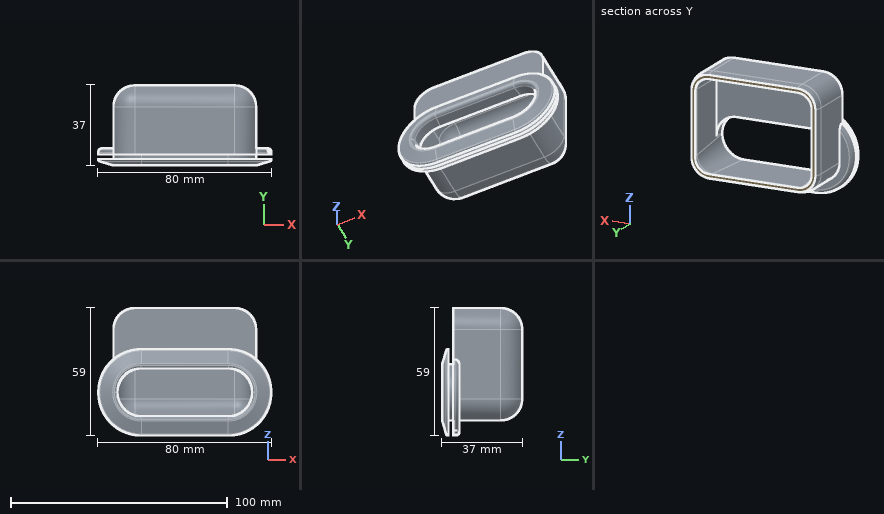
import cadquery as cq

wall = 2.0
slot_straight = 40.0
flange_radius = 20.0
neck_radius = 13.0

rim_thickness = 3.0
rim_bevel_width = 6.75
rim_bevel_depth = 2.0
rim_edge_fillet = 1.0
groove_width = 2.0
flange_thickness = 3.0
flange_edge_fillet = 2.0

box_top = 39.0
box_depth = 32.0
box_edge_radius = 10.0
mouth_corner_radius = 10.9
lip_fillet = 1.5
selection_margin = 0.1

opening_radius = neck_radius - wall
flange_width = slot_straight + 2 * flange_radius
box_width = slot_straight + 2 * neck_radius
box_bottom = -neck_radius
box_front = rim_thickness + groove_width
box_back = box_front + box_depth
cavity_width = box_width - 2 * wall
chamber_front = box_front + wall
passage_end = box_back - box_edge_radius


def slot_prism(radius, y_start, y_end):
    """Horizontal slot outline centred on the Y axis, extruded from y_start to y_end."""
    return (
        cq.Workplane("XZ", origin=(0, y_start, 0))
        .slot2D(slot_straight + 2 * radius, 2 * radius)
        .extrude(y_start - y_end)
    )


def rounded_rectangle(width, bottom, top, corner_radius):
    """Rounded rectangle sketch centred on x = 0, spanning bottom to top in height."""
    return (
        cq.Sketch()
        .rect(width, top - bottom)
        .vertices()
        .fillet(corner_radius)
        .moved(cq.Location(cq.Vector(0, (top + bottom) / 2, 0)))
    )


def rounded_block(inset, y_start, y_end):
    """Block with rounded long edges and rounded back, inset from the box outline."""
    edge_radius = box_edge_radius - inset
    outline = rounded_rectangle(
        box_width - 2 * inset, box_bottom + inset, box_top - inset, edge_radius
    )
    return (
        cq.Workplane("XZ", origin=(0, y_start, 0))
        .placeSketch(outline)
        .extrude(y_start - y_end)
        .faces(">Y")
        .edges()
        .fillet(edge_radius)
    )


def edges_at_depth(y, width, height):
    """Selector for edges in the plane at y that lie within width by height about the Y axis."""
    half_width = width / 2 + selection_margin
    half_height = height / 2 + selection_margin
    return cq.selectors.BoxSelector(
        (-half_width, y - selection_margin, -half_height),
        (half_width, y + selection_margin, half_height),
        boundingbox=True,
    )


def front_rim():
    """Slot plate whose front face slopes back towards the outer edge."""
    plate = slot_prism(flange_radius, 0, rim_thickness)
    beveled = plate.faces("<Y").chamfer(rim_bevel_depth, rim_bevel_width)
    bevel_edge = edges_at_depth(rim_bevel_depth, flange_width, 2 * flange_radius)
    return beveled.edges(bevel_edge).fillet(rim_edge_fillet)


def rear_flange():
    """Slot plate behind the groove, rounded along its back edge."""
    plate = slot_prism(flange_radius, box_front, box_front + flange_thickness)
    return plate.faces(">Y").edges().fillet(flange_edge_fillet)


def opening_outline(corner_radius):
    """Outline of the opening, one wall thickness inside the neck."""
    return rounded_rectangle(cavity_width, -opening_radius, opening_radius, corner_radius)


def mouth():
    """Straight opening through the rim and the neck."""
    outline = opening_outline(mouth_corner_radius)
    return cq.Workplane("XZ").placeSketch(outline).extrude(-chamber_front)


def lower_passage():
    """Passage behind the mouth whose corners tighten to those of the cavity's back."""
    start = opening_outline(mouth_corner_radius)
    end = opening_outline(box_edge_radius - wall)
    shift = cq.Location(cq.Vector(0, 0, lip_fillet - passage_end))
    return (
        cq.Workplane("XZ", origin=(0, lip_fillet, 0))
        .placeSketch(start, end.moved(shift))
        .loft(ruled=True)
    )


def chamber():
    """Main cavity of the box, leaving its lower front part to the passage."""
    block = rounded_block(wall, chamber_front, box_back - wall)
    lower_front = cq.Workplane("XY", origin=(0, chamber_front, -opening_radius)).box(
        cavity_width,
        passage_end - chamber_front,
        opening_radius,
        centered=(True, False, False),
    )
    return block.cut(lower_front)


def round_mouth_edge(part):
    """Round the front edge of the opening, the innermost edge loop of the front face."""
    mouth_edge = edges_at_depth(0, cavity_width, 2 * opening_radius)
    return part.edges(mouth_edge).fillet(lip_fillet)


box = rounded_block(0, box_front, box_back)
neck = slot_prism(neck_radius, 0, chamber_front)
body = box.union(rear_flange()).union(neck).union(front_rim())
opened_body = round_mouth_edge(body.cut(mouth()))
result = opened_body.cut(lower_passage()).cut(chamber())